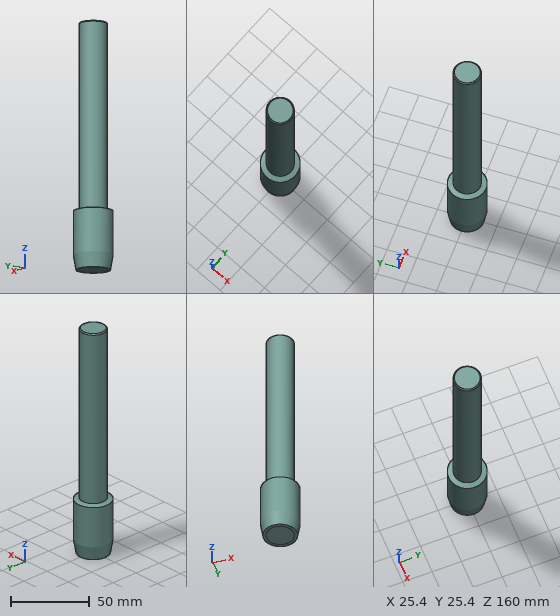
import cadquery as cq
import math

total_height = 160.0
pillar_diameter = 18.0
pillar_chamfer = 0.8

sleeve_diameter = 25.4
sleeve_edge_height = 38.0
shoulder_angle = 15.0
nose_height = 9.5
nose_end_diameter = 22.1

pillar_radius = pillar_diameter / 2
sleeve_radius = sleeve_diameter / 2
nose_end_radius = nose_end_diameter / 2
shoulder_rise = (sleeve_radius - pillar_radius) * math.tan(math.radians(shoulder_angle))
sleeve_top_height = sleeve_edge_height + shoulder_rise


def revolve_about_z(profile):
    """Close a (radius, height) profile and turn it a full circle about the Z axis."""
    return profile.close().revolve(360, (0, 0, 0), (0, 1, 0))


def make_pillar():
    """Plain round pillar over the full height, chamfered at its top end."""
    profile = (
        cq.Workplane("XZ")
        .lineTo(pillar_radius, 0)
        .lineTo(pillar_radius, total_height - pillar_chamfer)
        .lineTo(pillar_radius - pillar_chamfer, total_height)
        .lineTo(0, total_height)
    )
    return revolve_about_z(profile)


def make_sleeve():
    """Sleeve bored for the pillar, with a tapered nose below and a conical shoulder on top."""
    profile = (
        cq.Workplane("XZ")
        .moveTo(pillar_radius, 0)
        .lineTo(nose_end_radius, 0)
        .lineTo(sleeve_radius, nose_height)
        .lineTo(sleeve_radius, sleeve_edge_height)
        .lineTo(pillar_radius, sleeve_top_height)
    )
    return revolve_about_z(profile)


pillar = make_pillar()
sleeve = make_sleeve()

result = cq.Compound.makeCompound([pillar.val(), sleeve.val()])